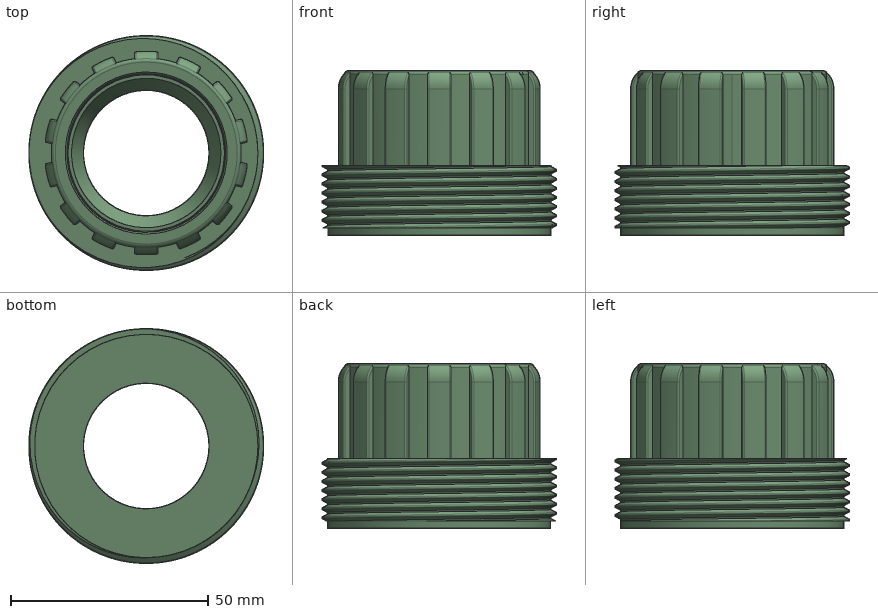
import cadquery as cq
import math

collar_height = 17.69
thread_start = 1.87
thread_major_radius = 59.61 / 2
thread_minor_radius = 56.66 / 2
thread_pitch = 25.4 / 11
flank_angle = math.radians(55 / 2)
crest_rounding = 0.1373 * thread_pitch
thread_embed = 0.1
spare_turns = 1

total_height = 41.8
hub_radius = 24.1
hub_rim_fillet = 1.0

rib_count = 14
rib_radius = 25.82
rib_width = 6.06
rib_edge_fillet = 0.45
rib_top_radius = 5.5
rib_straight_top = 37.2

socket_depth = 26.8
socket_mouth_radius = 20.15
socket_bottom_radius = 19.85
mouth_chamfer = 0.4
hole_radius = 31.8 / 2
cone_top_radius = 18.95
cone_depth = 7.0


def cylinder(radius, bottom, top):
    """Upright cylinder on the part's axis."""
    return cq.Workplane("XY").workplane(offset=bottom).circle(radius).extrude(top - bottom)


def make_thread_tooth():
    """Right-handed helical tooth that overruns the threaded length at both ends."""
    depth = thread_major_radius - thread_minor_radius
    slope = math.tan(flank_angle)
    base_radius = thread_minor_radius - thread_embed
    base_half_width = thread_pitch / 4 + (depth / 2 + thread_embed) * slope
    crest_half_width = crest_rounding * math.cos(flank_angle)
    crest_tangent_radius = base_radius + (base_half_width - crest_half_width) / slope

    turns = math.ceil((collar_height - thread_start) / thread_pitch) + 2 * spare_turns
    helix_height = turns * thread_pitch
    helix_start = collar_height + (spare_turns + 0.5) * thread_pitch - helix_height
    tooth = (
        cq.Workplane("XZ")
        .moveTo(base_radius, -base_half_width)
        .lineTo(crest_tangent_radius, -crest_half_width)
        .threePointArc((thread_major_radius, 0), (crest_tangent_radius, crest_half_width))
        .lineTo(base_radius, base_half_width)
        .close()
    )
    helix = cq.Wire.makeHelix(thread_pitch, helix_height, base_radius)
    return tooth.sweep(cq.Workplane(obj=helix), isFrenet=True).translate((0, 0, helix_start))


def make_collar():
    """Threaded collar with a plain lead-in at the bottom and a flat top."""
    overrun = (spare_turns + 2) * thread_pitch
    core = cylinder(thread_minor_radius, thread_start - overrun, collar_height + overrun)
    rod = core.union(make_thread_tooth(), clean=False)
    threaded_length = cylinder(thread_major_radius + thread_pitch, thread_start, collar_height)
    threaded = rod.intersect(threaded_length, clean=False)
    lead_in = cylinder(thread_minor_radius, 0, thread_start)
    return threaded.union(lead_in, clean=False)


def make_rib():
    """One grip rib on +Y, its top rounded in towards the hub rim."""
    inner_radius = hub_radius - hub_rim_fillet / 2
    arc_center = rib_radius - rib_top_radius

    def arc_point(radius):
        rise = math.sqrt(rib_top_radius**2 - (radius - arc_center) ** 2)
        return (radius, rib_straight_top + rise)

    ring = (
        cq.Workplane("XZ")
        .moveTo(inner_radius, collar_height)
        .lineTo(rib_radius, collar_height)
        .lineTo(rib_radius, rib_straight_top)
        .threePointArc(arc_point((inner_radius + rib_radius) / 2), arc_point(inner_radius))
        .close()
        .revolve(360, (0, 0, 0), (0, 1, 0))
    )
    slab = (
        cq.Workplane("XY")
        .workplane(offset=collar_height)
        .center(0, rib_radius)
        .rect(rib_width, rib_radius)
        .extrude(total_height - collar_height)
    )
    rib = ring.intersect(slab)
    side_x = rib_width / 2
    side_y = math.sqrt(rib_radius**2 - side_x**2)
    mid_z = (collar_height + rib_straight_top) / 2
    for x in (-side_x, side_x):
        side_edge = cq.selectors.NearestToPointSelector((x, side_y, mid_z))
        rib = rib.edges(side_edge).fillet(rib_edge_fillet)
    return rib


def make_bore():
    """Chamfered, slightly tapered socket ending in a ledge, a cone and the hole."""
    socket_bottom = total_height - socket_depth
    return (
        cq.Workplane("XZ")
        .lineTo(hole_radius, 0)
        .lineTo(hole_radius, socket_bottom - cone_depth)
        .lineTo(cone_top_radius, socket_bottom)
        .lineTo(socket_bottom_radius, socket_bottom)
        .lineTo(socket_mouth_radius, total_height - mouth_chamfer)
        .lineTo(socket_mouth_radius + mouth_chamfer, total_height)
        .lineTo(0, total_height)
        .close()
        .revolve(360, (0, 0, 0), (0, 1, 0))
    )


def make_hub():
    """Round hub with a filleted rim and evenly spaced grip ribs, standing on the collar."""
    hub = cylinder(hub_radius, collar_height, total_height)
    hub = hub.faces(">Z").edges().fillet(hub_rim_fillet)
    rib = make_rib().val()
    axis_start, axis_end = cq.Vector(0, 0, 0), cq.Vector(0, 0, 1)
    ribs = [rib.rotate(axis_start, axis_end, index * 360 / rib_count) for index in range(rib_count)]
    return cq.Workplane(obj=hub.val().fuse(*ribs))


result = make_collar().union(make_hub(), clean=False, glue=True).cut(make_bore(), clean=False)